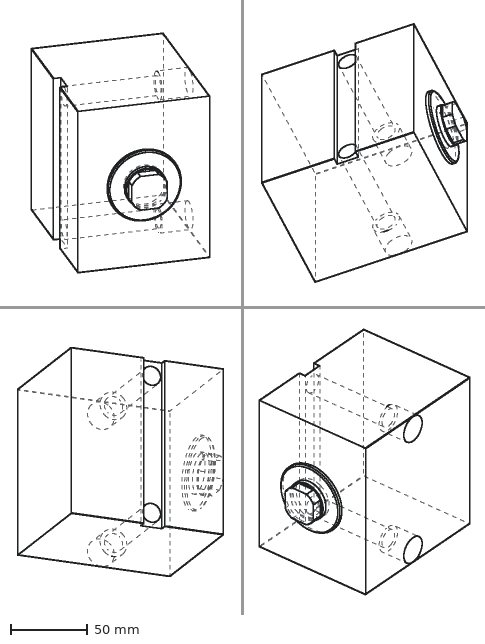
import cadquery as cq

housing_length = 108.0
housing_depth = 90.0
housing_height = 115.0
housing_chamfer = 0.3

slot_width = 15.0
slot_depth = 5.0
slot_center_x = 59.0

bolt_hole_diameter = 13.0
bolt_hole_spacing = 95.0
bolt_head_diameter = 19.0
bolt_head_depth = 21.0

gland_diameter = 50.0
gland_thickness = 3.0
gland_chamfer = 1.0

rod_diameter = 28.0
rod_shoulder_length = 6.5
rod_chamfer = 0.5
rod_length = 13.5
nose_diameter = rod_diameter - 2 * rod_chamfer
nose_across_flats = 24.0


def cylinder_along_x(start_x, length, diameter):
    return cq.Workplane("YZ", origin=(start_x, 0, 0)).circle(diameter / 2).extrude(length)


def cylinder_along_y(x, z, start_y, length, diameter):
    """Cylinder that runs from start_y towards -Y."""
    return cq.Workplane("XZ", origin=(x, start_y, z)).circle(diameter / 2).extrude(length)


def make_housing():
    body = cq.Workplane("XY").box(housing_length, housing_depth, housing_height)
    body = body.edges("|X").chamfer(housing_chamfer)
    body = body.translate((housing_length / 2, 0, 0))

    slot = cq.Workplane("XY").box(slot_width, 2 * slot_depth, housing_height)
    body = body.cut(slot.translate((slot_center_x, -housing_depth / 2, 0)))

    back_y = housing_depth / 2
    for side in (-1, 1):
        hole_z = side * bolt_hole_spacing / 2
        body = body.cut(cylinder_along_y(slot_center_x, hole_z, back_y, housing_depth, bolt_hole_diameter))
        body = body.cut(cylinder_along_y(slot_center_x, hole_z, back_y, bolt_head_depth, bolt_head_diameter))
    return body


def make_gland():
    ring = cylinder_along_x(housing_length, gland_thickness, gland_diameter)
    ring = ring.faces(">X").edges().chamfer(gland_chamfer)
    return ring.cut(cylinder_along_x(housing_length, gland_thickness, rod_diameter))


def make_rod():
    shoulder = cylinder_along_x(housing_length, rod_shoulder_length, rod_diameter)
    shoulder = shoulder.faces(">X").edges().chamfer(rod_chamfer)

    nose_start = housing_length + rod_shoulder_length
    nose_length = rod_length - rod_shoulder_length
    nose = cylinder_along_x(nose_start, nose_length, nose_diameter)
    flats = cq.Workplane("YZ", origin=(nose_start, 0, 0))
    flats = flats.rect(nose_across_flats, nose_across_flats).extrude(nose_length)
    return shoulder.union(nose.intersect(flats))


housing = make_housing()
gland = make_gland()
rod = make_rod()

result = cq.Compound.makeCompound([housing.val(), gland.val(), rod.val()])